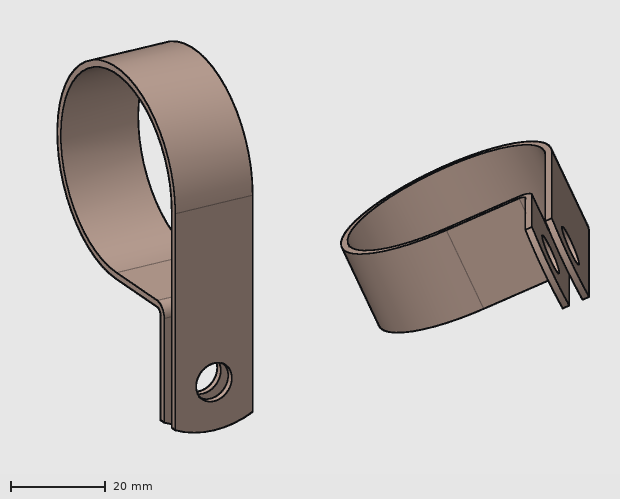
import cadquery as cq
import math

overall_height = 76.9
width = 19.1
outer_radius = 24.5
thickness = 1.5
leg_gap = 3.1
bend_inner_radius = 1.45
hole_diameter = 8.8
hole_to_tip = 11.15
tip_rise = 2.15

inner_radius = outer_radius - thickness
tip_z = outer_radius - overall_height
hole_z = tip_z + hole_to_tip
short_leg_outer_x = inner_radius - leg_gap
short_leg_inner_x = short_leg_outer_x - thickness
bend_outer_radius = bend_inner_radius + thickness


def strap_band():
    """Bent strip: straight long leg, three-quarter loop, flat, bend and short leg."""
    outer_diagonal = outer_radius * math.sqrt(0.5)
    inner_diagonal = inner_radius * math.sqrt(0.5)
    half_width = width / 2
    return (
        cq.Workplane("XZ", origin=(0, half_width, 0))
        .moveTo(outer_radius, tip_z)
        .lineTo(outer_radius, 0)
        .threePointArc((-outer_diagonal, outer_diagonal), (0, -outer_radius))
        .lineTo(short_leg_inner_x - bend_inner_radius, -outer_radius)
        .radiusArc((short_leg_inner_x, -outer_radius - bend_inner_radius), bend_inner_radius)
        .lineTo(short_leg_inner_x, tip_z)
        .lineTo(short_leg_outer_x, tip_z)
        .lineTo(short_leg_outer_x, -inner_radius - bend_outer_radius)
        .radiusArc((short_leg_outer_x - bend_outer_radius, -inner_radius), -bend_outer_radius)
        .lineTo(0, -inner_radius)
        .threePointArc((-inner_diagonal, inner_diagonal), (inner_radius, 0))
        .lineTo(inner_radius, tip_z)
        .close()
        .extrude(width)
    )


def side_outline():
    """Block with the rounded leg end, used to trim both legs."""
    half_width = width / 2
    return (
        cq.Workplane("YZ", origin=(-outer_radius, 0, 0))
        .moveTo(-half_width, outer_radius)
        .lineTo(-half_width, tip_z + tip_rise)
        .threePointArc((0, tip_z), (half_width, tip_z + tip_rise))
        .lineTo(half_width, outer_radius)
        .close()
        .extrude(2 * outer_radius)
    )


def bolt_hole():
    """Cylinder passing through both legs."""
    return (
        cq.Workplane("YZ")
        .center(0, hole_z)
        .circle(hole_diameter / 2)
        .extrude(outer_radius)
    )


result = strap_band().intersect(side_outline()).cut(bolt_hole())